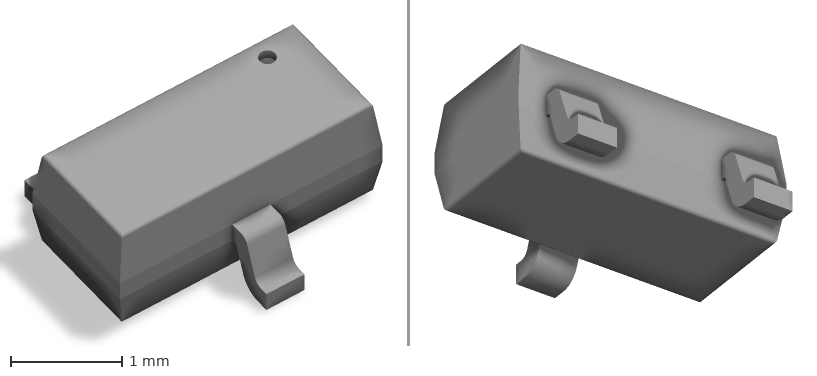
import cadquery as cq
import math

housing_width = 1.35
housing_length = 2.9
total_height = 1.2
standoff = 0.05
top_taper_angle = 7.0
bottom_taper_angle = 9.0
rim_radius = 0.035

mark_diameter = 0.168
mark_depth = 0.1
mark_x = -0.403

lead_span = 2.4
lead_width = 0.42
lead_thickness = 0.21
lead_top = 0.67
lead_pitch = 0.95
foot_flat = 0.08
bend_radius = 0.102
heel_radius = 0.232
leg_angle = 20.0

band_bottom = lead_top - lead_thickness


def make_tapered_block(base_z, height, taper_angle):
    """Block that narrows from the band outline; a negative height goes down."""
    return (
        cq.Workplane("XY")
        .workplane(offset=base_z)
        .rect(housing_width, housing_length)
        .extrude(height, taper=taper_angle)
    )


def make_housing():
    band = (
        cq.Workplane("XY")
        .workplane(offset=band_bottom)
        .rect(housing_width, housing_length)
        .extrude(lead_thickness)
    )
    upper = make_tapered_block(lead_top, total_height - lead_top, top_taper_angle)
    lower = make_tapered_block(band_bottom, standoff - band_bottom, bottom_taper_angle)
    upper = upper.faces(">Z").edges().fillet(rim_radius)
    lower = lower.faces("<Z").edges().fillet(rim_radius)
    mark = (
        cq.Workplane("XY")
        .workplane(offset=total_height - mark_depth)
        .center(mark_x, lead_pitch)
        .circle(mark_diameter / 2)
        .extrude(mark_depth)
    )
    return band.union(upper).union(lower).cut(mark)


def make_lead(side, center_y):
    """Lead on the +X (side = 1) or -X (side = -1) face of the housing."""
    lean = math.radians(leg_angle)
    tip = lead_span / 2
    face = housing_width / 2
    corner_setback = math.tan((math.pi / 2 - lean) / 2)
    foot_top_corner = tip - foot_flat - bend_radius * corner_setback
    foot_bottom_corner = foot_top_corner - lead_thickness * corner_setback
    shoulder_top_corner = foot_top_corner - band_bottom * math.tan(lean)
    shoulder_bottom_corner = foot_bottom_corner - band_bottom * math.tan(lean)

    outline = [
        (face, lead_top),
        (shoulder_top_corner, lead_top),
        (foot_top_corner, lead_thickness),
        (tip, lead_thickness),
        (tip, 0),
        (foot_bottom_corner, 0),
        (shoulder_bottom_corner, band_bottom),
        (face, band_bottom),
    ]
    lead = (
        cq.Workplane("XZ", origin=(0, center_y, 0))
        .polyline([(side * x, z) for x, z in outline])
        .close()
        .extrude(lead_width / 2, both=True)
    )

    def round_bend(body, x, z, radius):
        nearest = cq.selectors.NearestToPointSelector((side * x, center_y, z))
        return body.edges("|Y").edges(nearest).fillet(radius)

    lead = round_bend(lead, shoulder_top_corner, lead_top, bend_radius)
    lead = round_bend(lead, foot_top_corner, lead_thickness, bend_radius)
    return round_bend(lead, foot_bottom_corner, 0, heel_radius)


housing = make_housing()
lead_positions = [(-1, lead_pitch), (-1, -lead_pitch), (1, 0)]
leads = [make_lead(side, center_y) for side, center_y in lead_positions]

result = cq.Compound.makeCompound([housing.val(), *[lead.val() for lead in leads]])